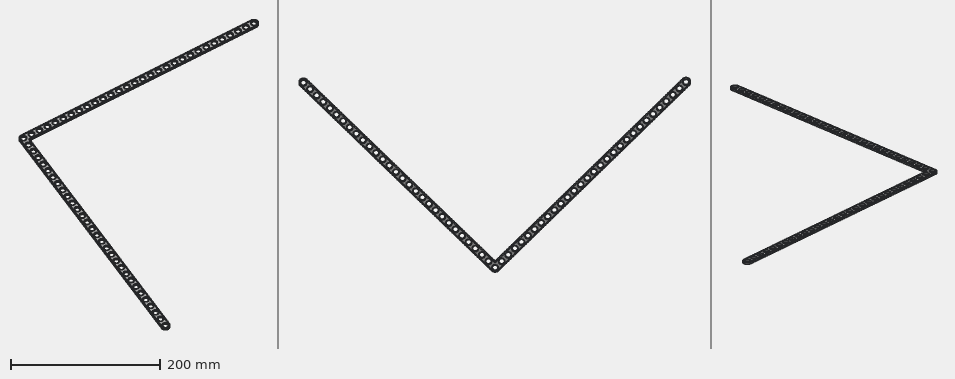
import cadquery as cq

arm_length = 375.0
holes_per_arm = 30
pitch = arm_length / holes_per_arm
arm_width = pitch
hole_diameter = 7.0

thickness = 3.1
field_height = 0.2
rim_width = 1.5
hole_margin = 1.05
recess_diameter = hole_diameter + 2 * hole_margin

center_line = arm_width / 2
arm_middle = arm_length / 2


def angle_plate(inset, bottom, top):
    """L-shaped plate of two round-ended arms, set back from the outline by inset."""
    length = arm_length - 2 * inset
    width = arm_width - 2 * inset
    height = top - bottom
    base = cq.Workplane("XY").workplane(offset=bottom)
    arm_x = base.center(arm_middle, center_line).slot2D(length, width).extrude(height)
    arm_y = base.center(center_line, arm_middle).slot2D(length, width, 90).extrude(height)
    return arm_x.union(arm_y)


def hole_centers():
    """Hole centers along both arms, with the corner hole listed once."""
    along = [center_line + i * pitch for i in range(holes_per_arm)]
    return [(x, center_line) for x in along] + [(center_line, y) for y in along[1:]]


def discs(diameter, bottom, top):
    """One cylinder at every hole center."""
    base = cq.Workplane("XY").workplane(offset=bottom)
    return base.pushPoints(hole_centers()).circle(diameter / 2).extrude(top - bottom)


rim_bottom = field_height
rim_top = thickness - field_height
plate = angle_plate(0, rim_bottom, rim_top).union(angle_plate(rim_width, 0, thickness))

plate = plate.cut(discs(hole_diameter, 0, thickness))
plate = plate.cut(discs(recess_diameter, 0, rim_bottom))
result = plate.cut(discs(recess_diameter, rim_top, thickness))